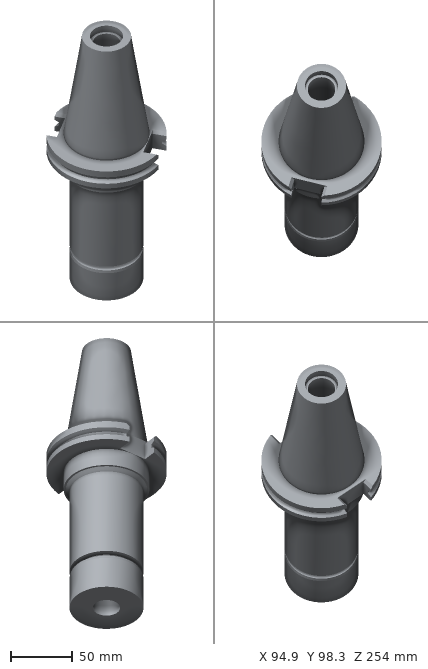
import cadquery as cq

TOTAL_HEIGHT = 254.0

BODY_DIAMETER = 60.5
BODY_RADIUS = BODY_DIAMETER / 2
NOSE_HEIGHT = 31.2
NOSE_CHAMFER_HEIGHT = 2.5
NOSE_CHAMFER_WIDTH = 0.5
NECK_RADIUS = 25.0
NECK_HEIGHT = 4.3
SHANK_BOTTOM = NOSE_HEIGHT + NECK_HEIGHT

COLLAR_RADIUS = 35.0
COLLAR_BOTTOM = 117.5
STEP_CONE_SIZE = 3.0

FLANGE_RADIUS = 98.3 / 2
FLANGE_BOTTOM = 133.5
FLANGE_HEIGHT = 17.8
FLANGE_TOP = FLANGE_BOTTOM + FLANGE_HEIGHT
GROOVE_FLOOR_RADIUS = 45.5
GROOVE_BOTTOM = FLANGE_BOTTOM + 4.8
GROOVE_TOP = FLANGE_TOP - 6.0
GROOVE_SIDE_HEIGHT = 1.8

TAPER_BOTTOM = FLANGE_TOP + 1.5
TAPER_TOP_RADIUS = 20.0

SLOT_WIDTH = 25.5
SLOT_CHAMFER = 2.5
SLOT_FLOOR_LEFT = 37.8
SLOT_FLOOR_RIGHT = 35.3

PLUG_DIAMETER = 10.0
PLUG_LENGTH = 5.0
PLUG_DROP = 0.8
PLUG_AXIS_HEIGHT = FLANGE_BOTTOM + FLANGE_HEIGHT / 2 - PLUG_DROP

BORE_RADIUS = 11.2
COUNTERBORE_RADIUS = 13.5
COUNTERBORE_DEPTH = 6.5


def revolve_profile(points):
    """Revolve a closed (radius, z) outline about the Z axis."""
    return cq.Workplane("XZ").polyline(points).close().revolve(360, (0, 0, 0), (0, 1, 0))


def drive_slot(side, floor):
    """Cutter for one drive slot; side is -1 for -X and +1 for +X."""
    half = SLOT_WIDTH / 2
    length = FLANGE_RADIUS - floor
    outline = [
        (-half, FLANGE_BOTTOM),
        (half, FLANGE_BOTTOM),
        (half, FLANGE_TOP - SLOT_CHAMFER),
        (half + SLOT_CHAMFER, FLANGE_TOP),
        (-half - SLOT_CHAMFER, FLANGE_TOP),
        (-half, FLANGE_TOP - SLOT_CHAMFER),
    ]
    plane = cq.Workplane("YZ", origin=(side * floor, 0, 0))
    return plane.polyline(outline).close().extrude(side * length)


def make_plug():
    """Round plug, also the shape of its recess in the holder."""
    plane = cq.Workplane("YZ", origin=(-SLOT_FLOOR_LEFT, 0, PLUG_AXIS_HEIGHT))
    return plane.circle(PLUG_DIAMETER / 2).extrude(PLUG_LENGTH)


def make_holder():
    """Tool holder: nose, neck, shank, collar, grooved flange and taper around a stepped bore."""
    counterbore_floor = TOTAL_HEIGHT - COUNTERBORE_DEPTH
    body = revolve_profile([
        (BORE_RADIUS, 0),
        (BODY_RADIUS, 0),
        (BODY_RADIUS, NOSE_HEIGHT - NOSE_CHAMFER_HEIGHT),
        (BODY_RADIUS - NOSE_CHAMFER_WIDTH, NOSE_HEIGHT),
        (NECK_RADIUS, NOSE_HEIGHT),
        (NECK_RADIUS, SHANK_BOTTOM),
        (BODY_RADIUS, SHANK_BOTTOM),
        (BODY_RADIUS, COLLAR_BOTTOM - STEP_CONE_SIZE),
        (BODY_RADIUS + STEP_CONE_SIZE, COLLAR_BOTTOM),
        (COLLAR_RADIUS, COLLAR_BOTTOM),
        (COLLAR_RADIUS, FLANGE_BOTTOM),
        (FLANGE_RADIUS, FLANGE_BOTTOM),
        (FLANGE_RADIUS, GROOVE_BOTTOM),
        (GROOVE_FLOOR_RADIUS, GROOVE_BOTTOM + GROOVE_SIDE_HEIGHT),
        (GROOVE_FLOOR_RADIUS, GROOVE_TOP - GROOVE_SIDE_HEIGHT),
        (FLANGE_RADIUS, GROOVE_TOP),
        (FLANGE_RADIUS, FLANGE_TOP),
        (COLLAR_RADIUS, FLANGE_TOP),
        (COLLAR_RADIUS, TAPER_BOTTOM),
        (TAPER_TOP_RADIUS, TOTAL_HEIGHT),
        (COUNTERBORE_RADIUS, TOTAL_HEIGHT),
        (COUNTERBORE_RADIUS, counterbore_floor),
        (BORE_RADIUS, counterbore_floor),
    ])
    for side, floor in ((-1, SLOT_FLOOR_LEFT), (1, SLOT_FLOOR_RIGHT)):
        body = body.cut(drive_slot(side, floor))
    return body.cut(make_plug())


holder = make_holder()
plug = make_plug()

result = cq.Compound.makeCompound([holder.val(), plug.val()])